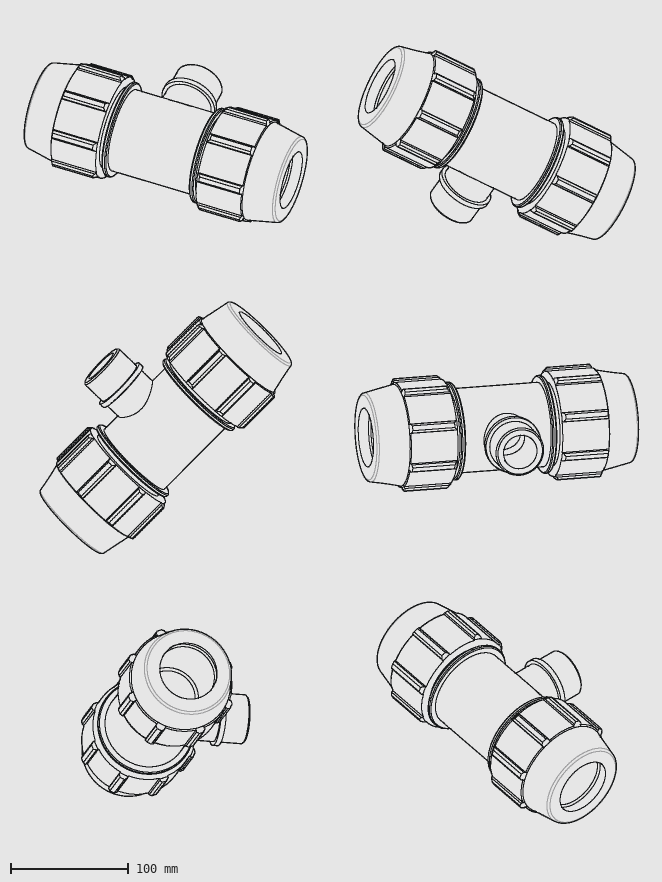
import cadquery as cq
run_length = 230.0
run_diameter = 72.0
run_bore_diameter = 45.0
socket_diameter = 50.8
socket_stop_x = 46.0

mouth_diameter = 50.0
mouth_groove_diameter = 54.3
mouth_groove_depth = 9.7
mouth_depth = 11.3

flange_diameter = 83.5
flange_inner_x = 38.2
flange_thickness = 3.7
flange_chamfer = 1.0

nut_inner_x = 46.0
nut_shoulder_x = 87.6
nut_diameter = 89.5
cone_base_diameter = 86.7
cone_tip_diameter = 75.5
tip_round = 2.0
shoulder_depth = 0.7

rib_count = 8
rib_top_radius = 48.0
rib_root_radius = 42.5
rib_width = 7.8
rib_bevel = 1.8
rib_inner_slope = 2.8
rib_inner_end_radius = 45.3
rib_outer_slope = 1.8

branch_tip_y = 76.8
branch_diameter = 41.9
branch_bore_diameter = 29.5
branch_tip_chamfer = 1.4
collar_diameter = 48.3
collar_y = 50.5
collar_thickness = 4.4

half_length = run_length / 2


def cylinder_x(diameter, start, end):
    return cq.Workplane("YZ").workplane(offset=start).circle(diameter / 2).extrude(end - start)


def cylinder_y(diameter, start, end):
    return cq.Workplane("XZ").workplane(offset=-start).circle(diameter / 2).extrude(start - end)


def turned_about_x(points):
    return cq.Workplane("XY").polyline(points).close().revolve(360, (0, 0, 0), (1, 0, 0))


def make_rib():
    half_width = rib_width / 2
    half_top = half_width - rib_bevel
    bevel_radius = rib_top_radius - rib_bevel
    section = [
        (-half_width, rib_root_radius),
        (-half_width, bevel_radius),
        (-half_top, rib_top_radius),
        (half_top, rib_top_radius),
        (half_width, bevel_radius),
        (half_width, rib_root_radius),
    ]
    side = [
        (nut_inner_x, rib_root_radius),
        (nut_inner_x, rib_inner_end_radius),
        (nut_inner_x + rib_inner_slope, rib_top_radius),
        (nut_shoulder_x - rib_outer_slope, rib_top_radius),
        (nut_shoulder_x, cone_base_diameter / 2),
        (nut_shoulder_x, rib_root_radius),
    ]
    bar = cq.Workplane("YZ").polyline(section).close().extrude(half_length)
    side_plate = cq.Workplane("XZ").polyline(side).close().extrude(half_width, both=True)
    return bar.intersect(side_plate)


def make_nut():
    nut = turned_about_x([
        (nut_inner_x, 0),
        (nut_inner_x, nut_diameter / 2),
        (nut_shoulder_x - shoulder_depth, nut_diameter / 2),
        (nut_shoulder_x, cone_base_diameter / 2),
        (half_length, cone_tip_diameter / 2),
        (half_length, 0),
    ])
    nut = nut.faces(">X").edges().fillet(tip_round)
    rib = make_rib()
    for index in range(rib_count):
        angle = 360 / rib_count * (index + 0.5)
        nut = nut.union(rib.rotate((0, 0, 0), (1, 0, 0), angle))
    return nut


def make_flange():
    flange = cylinder_x(flange_diameter, flange_inner_x, flange_inner_x + flange_thickness)
    return flange.edges().chamfer(flange_chamfer)


def make_socket():
    return turned_about_x([
        (socket_stop_x, 0),
        (socket_stop_x, socket_diameter / 2),
        (half_length - mouth_depth, socket_diameter / 2),
        (half_length - mouth_groove_depth, mouth_groove_diameter / 2),
        (half_length, mouth_diameter / 2),
        (half_length, 0),
    ])


def make_branch():
    branch = cylinder_y(branch_diameter, 0, branch_tip_y).faces(">Y").chamfer(branch_tip_chamfer)
    branch = branch.union(cylinder_y(collar_diameter, collar_y, collar_y + collar_thickness))
    branch = branch.cut(cylinder_y(branch_bore_diameter, 0, branch_tip_y))
    return branch.cut(cylinder_x(run_diameter, -half_length, half_length))


def make_housing():
    housing = cylinder_x(run_diameter, -nut_inner_x, nut_inner_x)
    for end_part in (make_flange(), make_nut()):
        housing = housing.union(end_part).union(end_part.mirror("YZ"))
    housing = housing.cut(cylinder_x(run_bore_diameter, -half_length, half_length))
    socket = make_socket()
    housing = housing.cut(socket).cut(socket.mirror("YZ"))
    return housing.cut(cylinder_y(branch_bore_diameter, 0, branch_tip_y))


housing = make_housing()
branch = make_branch()
result = cq.Compound.makeCompound([housing.val(), branch.val()])